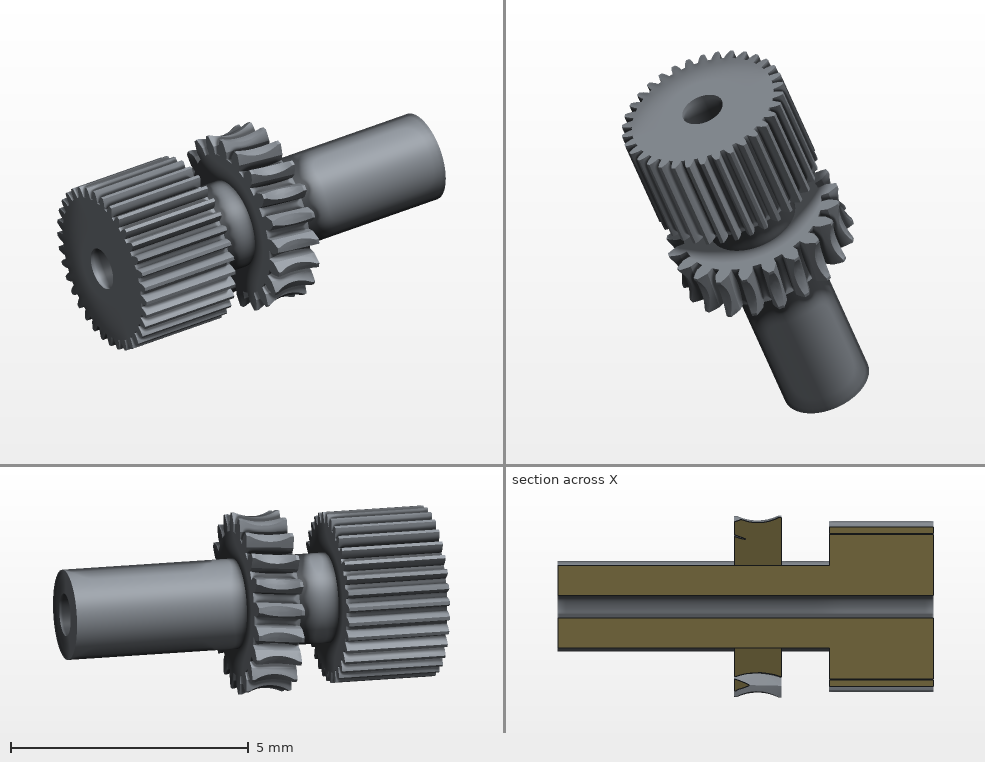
import cadquery as cq
import math

PRESSURE_ANGLE = math.radians(20)

OVERALL_LENGTH = 7.9
SHAFT_DIAMETER = 1.9
BORE_DIAMETER = 0.9

PINION_TEETH = 34
PINION_DIAMETER = 3.6
PINION_LENGTH = 2.2
PINION_MODULE = PINION_DIAMETER / (PINION_TEETH + 2)
PINION_FOOT_DIAMETER = PINION_MODULE * PINION_TEETH * math.cos(PRESSURE_ANGLE)
PINION_ROOT_DIAMETER = PINION_MODULE * (PINION_TEETH - 2.5)
PINION_TOOTH_ANGLE = 90.0

WHEEL_TEETH = 20
WHEEL_DIAMETER = 3.84
WHEEL_THROAT_DIAMETER = 3.63
WHEEL_FOOT_DIAMETER = 3.4
WHEEL_ROOT_DIAMETER = 3.065
WHEEL_ROOT_SAG = 0.09
WHEEL_WIDTH = 1.0
WHEEL_GAP = 0.995
WHEEL_RIM = 0.06
WHEEL_TWIST = 3.5
WHEEL_MODULE = 0.17
WHEEL_TOOTH_ANGLE = 180 / WHEEL_TEETH
WHEEL_FRONT = PINION_LENGTH + WHEEL_GAP
WHEEL_BACK = WHEEL_FRONT + WHEEL_WIDTH


def polar(radius, angle):
    return (radius * math.cos(angle), radius * math.sin(angle))


def involute(pressure):
    return math.tan(pressure) - pressure


def tooth_half_angle(radius, pitch_radius, teeth):
    """Half the angle that an involute tooth fills at the given radius."""
    base_radius = pitch_radius * math.cos(PRESSURE_ANGLE)
    pressure = math.acos(min(1.0, base_radius / radius))
    return math.pi / (2 * teeth) + involute(PRESSURE_ANGLE) - involute(pressure)


def gear_outline(plane, teeth, module, tip_radius, foot_radius, root_radius, first_tooth_degrees):
    """Closed outline of a gear whose flanks are radial up to foot_radius and curve in to the tip."""
    pitch_radius = module * teeth / 2
    middle_radius = (foot_radius + tip_radius) / 2
    tip_half = tooth_half_angle(tip_radius, pitch_radius, teeth)
    middle_half = tooth_half_angle(middle_radius, pitch_radius, teeth)
    foot_half = math.pi / (2 * teeth) + involute(PRESSURE_ANGLE)
    flank = [(tip_radius, tip_half), (middle_radius, middle_half), (foot_radius, foot_half)]
    pitch_angle = 2 * math.pi / teeth
    first = math.radians(first_tooth_degrees)

    outline = plane.moveTo(*polar(root_radius, first - foot_half))
    for index in range(teeth):
        centre = first + index * pitch_angle
        rising = [polar(r, centre - half) for r, half in reversed(flank)]
        falling = [polar(r, centre + half) for r, half in flank]
        gap_middle = polar(root_radius, centre + pitch_angle / 2)
        next_tooth = polar(root_radius, centre + pitch_angle - foot_half)
        outline = (
            outline.lineTo(*rising[0])
            .threePointArc(*rising[1:])
            .threePointArc(polar(tip_radius, centre), falling[0])
            .threePointArc(*falling[1:])
            .lineTo(*polar(root_radius, centre + foot_half))
            .threePointArc(gap_middle, next_tooth)
        )
    return outline.close()


def make_pinion_shaft():
    pinion_back = cq.Workplane("XZ", origin=(0, PINION_LENGTH, 0))
    pinion = gear_outline(
        pinion_back,
        PINION_TEETH,
        PINION_MODULE,
        PINION_DIAMETER / 2,
        PINION_FOOT_DIAMETER / 2,
        PINION_ROOT_DIAMETER / 2,
        PINION_TOOTH_ANGLE,
    ).extrude(PINION_LENGTH)
    shaft_end = cq.Workplane("XZ", origin=(0, OVERALL_LENGTH, 0))
    shaft = shaft_end.circle(SHAFT_DIAMETER / 2).extrude(OVERALL_LENGTH)
    bore = shaft_end.circle(BORE_DIAMETER / 2).extrude(OVERALL_LENGTH)
    return pinion.union(shaft).cut(bore)


def make_hollowed_disc(rim_radius, middle_radius, rim_width):
    """Disc as wide as the wheel, its edge hollowed by an arc between two rims."""
    middle = (middle_radius, WHEEL_FRONT + WHEEL_WIDTH / 2)
    profile = cq.Workplane("XY").moveTo(0, WHEEL_FRONT).lineTo(rim_radius, WHEEL_FRONT)
    if rim_width > 0:
        profile = profile.lineTo(rim_radius, WHEEL_FRONT + rim_width)
    profile = profile.threePointArc(middle, (rim_radius, WHEEL_BACK - rim_width))
    if rim_width > 0:
        profile = profile.lineTo(rim_radius, WHEEL_BACK)
    return profile.lineTo(0, WHEEL_BACK).close().revolve(360, (0, 0, 0), (0, 1, 0))


def make_worm_wheel():
    wheel_back = cq.Workplane("XZ", origin=(0, WHEEL_BACK, 0))
    root_radius = WHEEL_ROOT_DIAMETER / 2
    floor_radius = root_radius - WHEEL_ROOT_SAG
    twisted_teeth = gear_outline(
        wheel_back,
        WHEEL_TEETH,
        WHEEL_MODULE,
        WHEEL_DIAMETER / 2,
        WHEEL_FOOT_DIAMETER / 2,
        floor_radius,
        WHEEL_TOOTH_ANGLE,
    ).twistExtrude(WHEEL_WIDTH, WHEEL_TWIST)
    tip_envelope = make_hollowed_disc(WHEEL_DIAMETER / 2, WHEEL_THROAT_DIAMETER / 2, WHEEL_RIM)
    core = make_hollowed_disc(root_radius, floor_radius, 0)
    shaft_hole = wheel_back.circle(SHAFT_DIAMETER / 2).extrude(WHEEL_WIDTH)
    return twisted_teeth.intersect(tip_envelope).union(core).cut(shaft_hole)


pinion_shaft = make_pinion_shaft()
worm_wheel = make_worm_wheel()
result = cq.Compound.makeCompound([pinion_shaft.val(), worm_wheel.val()])